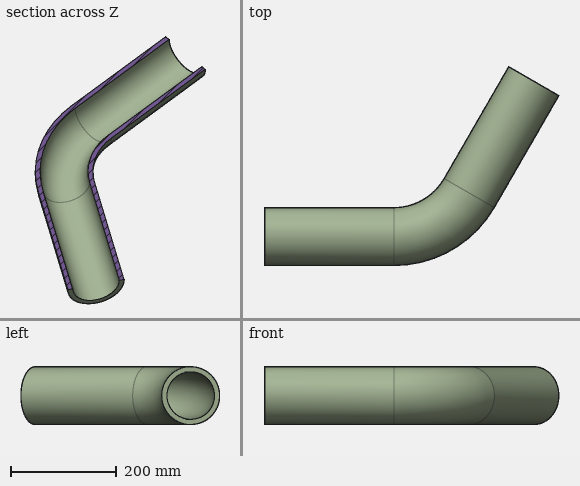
import cadquery as cq
import math

OUTER_DIAMETER = 110.0
BORE_DIAMETER = 90.0
BEND_ANGLE = 60.0
BEND_RADIUS = 1.5 * OUTER_DIAMETER
END_TO_CORNER = 340.0

tangent_length = BEND_RADIUS * math.tan(math.radians(BEND_ANGLE / 2))


def point_on_bend(angle):
    """Point on the centreline arc, at an angle in degrees from the bend start."""
    turn = math.radians(angle)
    x = -tangent_length + BEND_RADIUS * math.sin(turn)
    y = BEND_RADIUS * (1 - math.cos(turn))
    return (x, y)


def pipe_centreline():
    """Straight leg along +X, bend towards +Y, second straight leg; axes cross at the origin."""
    final_direction = math.radians(BEND_ANGLE)
    far_end = (
        END_TO_CORNER * math.cos(final_direction),
        END_TO_CORNER * math.sin(final_direction),
    )
    return (
        cq.Workplane("XY")
        .moveTo(-END_TO_CORNER, 0)
        .lineTo(-tangent_length, 0)
        .threePointArc(point_on_bend(BEND_ANGLE / 2), point_on_bend(BEND_ANGLE))
        .lineTo(*far_end)
    )


def bent_pipe():
    """Sweep the annular pipe section along the centreline."""
    section = (
        cq.Workplane("YZ", origin=(-END_TO_CORNER, 0, 0))
        .circle(OUTER_DIAMETER / 2)
        .circle(BORE_DIAMETER / 2)
    )
    return section.sweep(pipe_centreline())


result = bent_pipe()